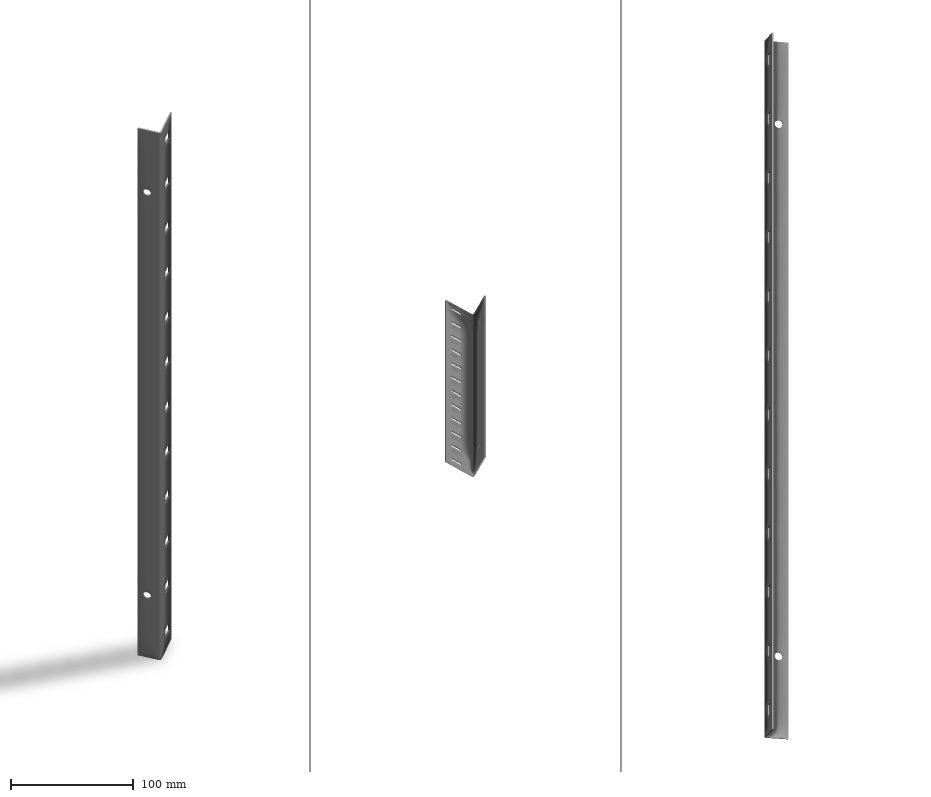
import cadquery as cq

length = 589.0
mounting_leg = 20.0
rack_leg = 26.7
thickness = 1.2
inner_bend_radius = 1.0
outer_bend_radius = inner_bend_radius + thickness

square_side = 9.5
square_pitch = 50.0
square_count = 12
square_edge_distance = 9.85

round_diameter = 6.5
round_spacing = 450.0
round_count = 2
round_edge_distance = 8.0

free_edge_x = -mounting_leg / 2
outer_face_x = mounting_leg / 2
outer_face_y = -rack_leg / 2
free_edge_y = rack_leg / 2


def bent_angle():
    """L-shaped section with a rounded bend, extruded over the full length."""
    inner_face_x = outer_face_x - thickness
    inner_face_y = outer_face_y + thickness
    return (
        cq.Workplane("XY")
        .workplane(offset=-length / 2)
        .moveTo(free_edge_x, outer_face_y)
        .lineTo(outer_face_x - outer_bend_radius, outer_face_y)
        .radiusArc((outer_face_x, outer_face_y + outer_bend_radius), -outer_bend_radius)
        .lineTo(outer_face_x, free_edge_y)
        .lineTo(inner_face_x, free_edge_y)
        .lineTo(inner_face_x, inner_face_y + inner_bend_radius)
        .radiusArc((inner_face_x - inner_bend_radius, inner_face_y), inner_bend_radius)
        .lineTo(free_edge_x, inner_face_y)
        .close()
        .extrude(length)
    )


def square_hole_cutters():
    """Row of square holes, evenly spaced about mid-length."""
    return (
        cq.Workplane("YZ", origin=(outer_face_x, free_edge_y - square_edge_distance, 0))
        .rarray(1, square_pitch, 1, square_count)
        .rect(square_side, square_side)
        .extrude(-thickness)
    )


def round_hole_cutters():
    """Pair of round holes, symmetric about mid-length."""
    return (
        cq.Workplane("XZ", origin=(free_edge_x + round_edge_distance, outer_face_y, 0))
        .rarray(1, round_spacing, 1, round_count)
        .circle(round_diameter / 2)
        .extrude(-thickness)
    )


result = bent_angle().cut(square_hole_cutters()).cut(round_hole_cutters())